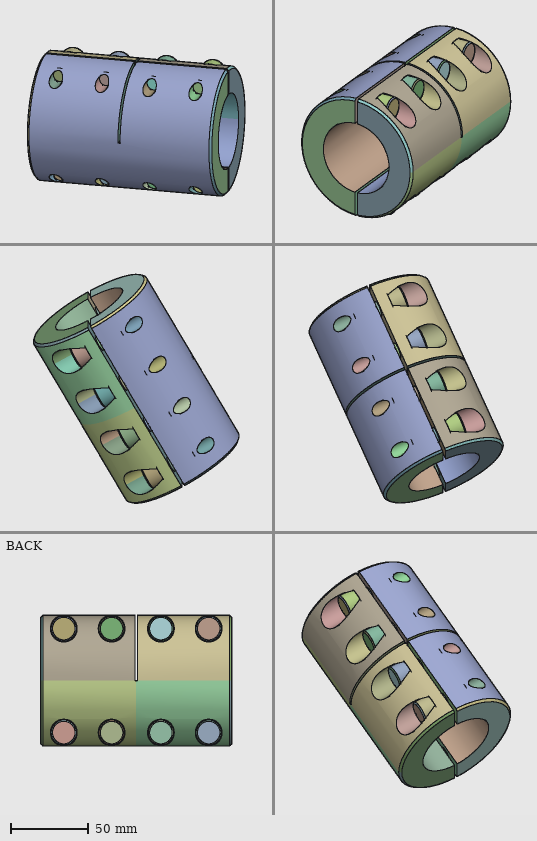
import cadquery as cq

length = 124.0
outer_diameter = 85.0
bore_diameter = 50.0
end_chamfer = 1.5
split_gap = 2.0
slit_width = 1.5

screw_height = 33.7
inner_screw_x = 16.0
outer_screw_x = 47.0
shank_diameter = 10.0
shank_tip_y = -16.1
head_diameter = 16.4
head_seat_y = 8.9
head_length = 10.0
head_chamfer = 0.9

counterbore_diameter = 17.4
tip_hole_diameter = 8.5

outer_radius = outer_diameter / 2
screw_positions = [
    (x, z)
    for z in (screw_height, -screw_height)
    for x in (-outer_screw_x, -inner_screw_x, inner_screw_x, outer_screw_x)
]


def cylinder_along_y(x, z, diameter, y_start, y_end):
    """Cylinder parallel to Y, with its axis at the given x and z."""
    axis = cq.Vector(0, 1, 0)
    start = cq.Vector(x, y_start, z)
    return cq.Workplane(cq.Solid.makeCylinder(diameter / 2, y_end - y_start, start, axis))


def make_sleeve():
    """Bored cylinder with chamfered outer rims and a slit across its upper half."""
    sleeve = (
        cq.Workplane("YZ")
        .circle(outer_radius)
        .extrude(length / 2, both=True)
        .faces("<X or >X")
        .chamfer(end_chamfer)
    )
    bore = cq.Workplane("YZ").circle(bore_diameter / 2).extrude(length / 2, both=True)
    slit = cq.Workplane().box(slit_width, outer_diameter, outer_radius, centered=(True, True, False))
    return sleeve.cut(bore).cut(slit)


def make_half_space(side):
    """Block that covers one side of the split; side is +1 or -1 along Y."""
    return (
        cq.Workplane()
        .box(length, outer_radius, outer_diameter)
        .translate((0, side * (split_gap + outer_radius) / 2, 0))
    )


def make_head_half():
    """Half on the +Y side, with a counterbored clearance hole for each screw."""
    half = make_sleeve().intersect(make_half_space(1))
    for x, z in screw_positions:
        half = half.cut(cylinder_along_y(x, z, shank_diameter, 0, head_seat_y))
        half = half.cut(cylinder_along_y(x, z, counterbore_diameter, head_seat_y, outer_radius))
    return half


def make_tip_half():
    """Half on the -Y side, where each shank hole narrows and continues to the outside."""
    half = make_sleeve().intersect(make_half_space(-1))
    for x, z in screw_positions:
        half = half.cut(cylinder_along_y(x, z, shank_diameter, shank_tip_y, 0))
        half = half.cut(cylinder_along_y(x, z, tip_hole_diameter, -outer_radius, shank_tip_y))
    return half


def make_screw(x, z):
    """Cap screw with a plain shank and a head chamfered at its outer end."""
    head_end_y = head_seat_y + head_length
    shank = cylinder_along_y(x, z, shank_diameter, shank_tip_y, head_seat_y)
    head = cylinder_along_y(x, z, head_diameter, head_seat_y, head_end_y)
    head = head.faces(">Y").chamfer(head_chamfer)
    return shank.union(head)


head_half = make_head_half()
tip_half = make_tip_half()
screws = [make_screw(x, z) for x, z in screw_positions]

result = cq.Compound.makeCompound(
    [head_half.val(), tip_half.val(), *[screw.val() for screw in screws]]
)